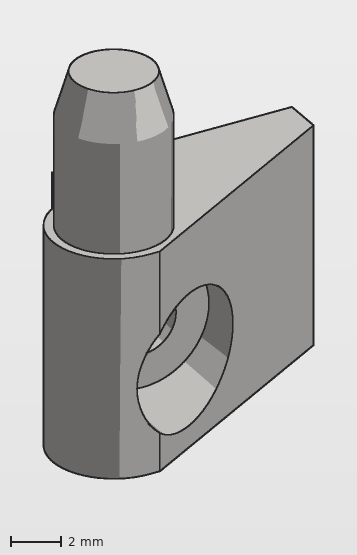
import cadquery as cq
import math

barrel_diameter = 5.61
barrel_height = 10.0
pin_diameter = 4.8
tip_diameter = 3.6
tip_height = 2.0
total_height = 17.0

plate_left = -5.0
plate_length = 11.0
plate_end_width = 1.75
slant_angle = 60.0

hole_diameter = 3.0
counterbore_diameter = 6.0
hole_y = 2.5
hole_z = 4.0
seat_thickness = 3.0

barrel_radius = barrel_diameter / 2
slant_top_x = plate_left + plate_end_width
slant_run_per_y = 1 / math.tan(math.radians(slant_angle))


def slant_x(y):
    """X position of the slanted face at a given Y."""
    return slant_top_x + (plate_length - y) * slant_run_per_y


def make_body():
    """Plate joined to the barrel, with the slanted face trimming both."""
    plate_and_barrel = (
        cq.Workplane("XY")
        .rect(barrel_radius - plate_left, plate_length, centered=False)
        .extrude(barrel_height)
        .translate((plate_left, 0, 0))
        .union(cq.Workplane("XY").circle(barrel_radius).extrude(barrel_height))
    )
    slant_envelope = (
        cq.Workplane("XY")
        .moveTo(plate_left, plate_length)
        .lineTo(slant_top_x, plate_length)
        .lineTo(slant_x(-barrel_radius), -barrel_radius)
        .lineTo(plate_left, -barrel_radius)
        .close()
        .extrude(barrel_height)
    )
    return plate_and_barrel.intersect(slant_envelope)


def make_pin():
    """Pin above the barrel with a tapered tip."""
    shoulder_z = total_height - tip_height
    return (
        cq.Workplane("XZ")
        .lineTo(pin_diameter / 2, 0)
        .lineTo(pin_diameter / 2, shoulder_z)
        .lineTo(tip_diameter / 2, total_height)
        .lineTo(0, total_height)
        .close()
        .revolve(360, (0, 0), (0, 1))
    )


def bore_from(start_x, diameter):
    """Cylinder along +X from start_x, running out past the barrel."""
    return (
        cq.Workplane("YZ", origin=(start_x, hole_y, hole_z))
        .circle(diameter / 2)
        .extrude(barrel_radius + barrel_diameter - start_x)
    )


result = (
    make_body()
    .union(make_pin())
    .cut(bore_from(plate_left, hole_diameter))
    .cut(bore_from(plate_left + seat_thickness, counterbore_diameter))
)